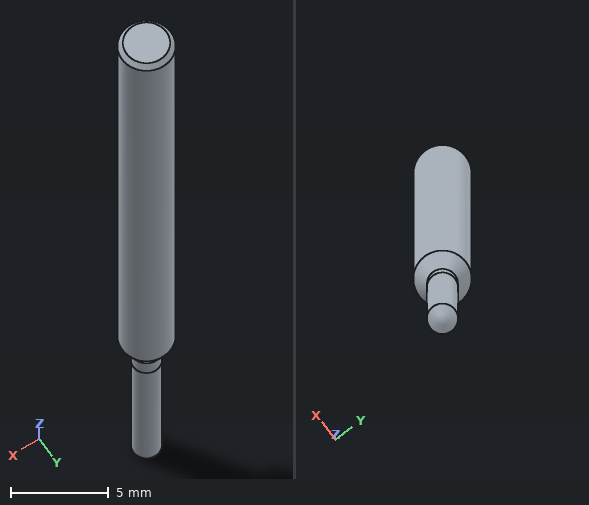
import cadquery as cq
import math

total_length = 41.0
cutter_top = 8.95
taper_bottom = 9.92
taper_top = 11.3

shank_radius = 3.0 / 2
drill_radius = 1.6 / 2

end_chamfer = 0.3
point_angle = 140.0
point_height = drill_radius / math.tan(math.radians(point_angle / 2))


def revolve_profile(points):
    """Turn a closed (radius, height) profile about the Z axis."""
    return cq.Workplane("XZ").polyline(points).close().revolve(360, (0, 0, 0), (0, 1, 0))


def make_shank():
    """Chamfered shank tapering down to a short neck above the cutter."""
    return revolve_profile([
        (0, cutter_top),
        (drill_radius, cutter_top),
        (drill_radius, taper_bottom),
        (shank_radius, taper_top),
        (shank_radius, total_length - end_chamfer),
        (shank_radius - end_chamfer, total_length),
        (0, total_length),
    ])


def make_cutter():
    """Cylindrical cutting part with a conical drill point."""
    return revolve_profile([
        (0, 0),
        (drill_radius, point_height),
        (drill_radius, cutter_top),
        (0, cutter_top),
    ])


shank = make_shank()
cutter = make_cutter()

result = cq.Compound.makeCompound([shank.val(), cutter.val()])